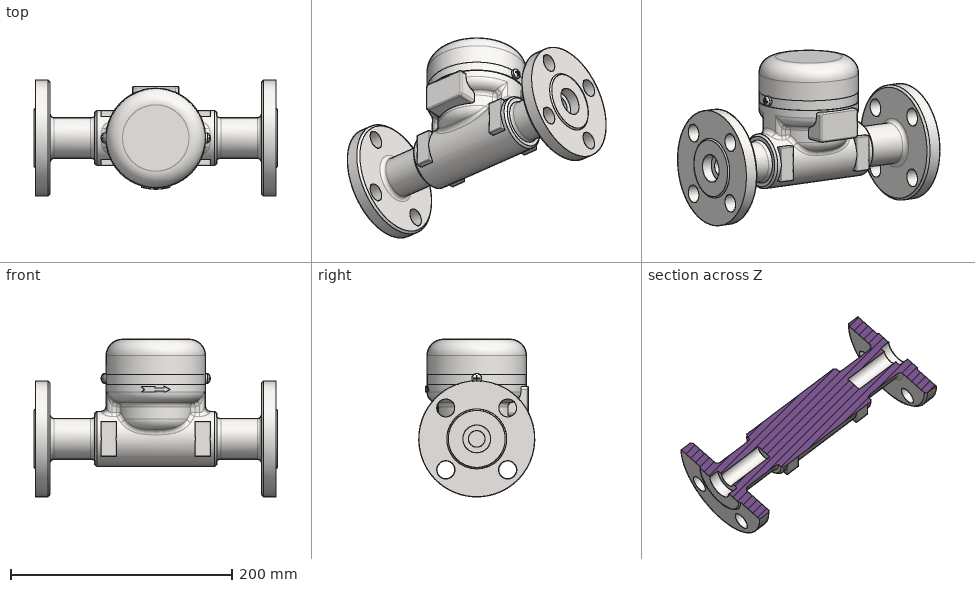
import cadquery as cq
import math

LENGTH = 220.0
HEIGHT = 142.5

FLANGE_D = 105.0
FLANGE_T = 13.2
FLANGE_CHAMFER = 2.0
BOLT_HOLE_D = 16.0
BOLT_OFFSET = 28.0
RAISED_FACE_T = 1.3
RAISED_FACE_D = 51.5
RAISED_FACE_BASE_D = 54.1
FLANGE_NECK_R = 3.7

PIPE_D = 37.0
FLARE_RISE = 1.0
FLARE_L = 3.5
SOCKET_D = 25.0
SOCKET_DEPTH = 10.0
BORE_D = 15.0

BARREL_D = 50.0
BARREL_L = 110.5
BARREL_CHAMFER = 2.0
WRENCH_PAD_X = 42.5
WRENCH_PAD_W = 14.3
WRENCH_PAD_H = 31.5
WRENCH_PAD_Y_INNER = 19.1
WRENCH_PAD_EDGE_R = 0.7

HEAD_D = 90.0
JOINT_Z = 49.3
HEAD_FILLET_Z = 42.5
HEAD_FILLET_R = 10.0
NECK_D = 70.0
NECK_FILLET_Z = 17.8
CAST_R = 4.5
ARM_W = 25.5
SPIGOT_D = 88.7
SPIGOT_TOP_Z = 58.0

PAD_W = 41.8
PAD_BOTTOM_Z = 20.5
PAD_TOP_Z = 47.5
PAD_FACE_Y = 46.6
PAD_CORNER_R = 2.9
PAD_EDGE_R = 1.3

ARROW_Z = 44.7
ARROW_HALF_L = 13.0
ARROW_RISE = 1.3
ARROW_NOTCH_L = 2.6
ARROW_TAIL_END_X = -0.7
ARROW_HEAD_X = 7.3
ARROW_TAIL_HALF_W = 2.6
ARROW_SHAFT_HALF_W = 1.3
ARROW_HEAD_HALF_W = 3.0

COVER_EDGE_R = 15.0

SCREW_Z = 54.5
SCREW_HEAD_D = 9.0
SCREW_RIM_H = 2.0
SCREW_HEAD_H = 4.5
SCREW_SHANK_D = 4.5
SCREW_SHANK_L = 6.5
SLOT_L = 5.7
SLOT_W = 0.9
SLOT_DEPTH = 1.0

HEAD_R = HEAD_D / 2
BARREL_R = BARREL_D / 2
TOP_Z = HEIGHT - FLANGE_D / 2
FLANGE_FACE_X = LENGTH / 2 - RAISED_FACE_T
FLANGE_BACK_X = FLANGE_FACE_X - FLANGE_T
BARREL_END_X = BARREL_L / 2
BORE_END_X = BARREL_END_X
ENDS = (-1, 1)

SURFACE_TOLERANCE = 0.002


def cylinder_x(diameter, x_start, x_end):
    """Cylinder about the X axis between two X positions."""
    return cq.Workplane("YZ", origin=(x_start, 0, 0)).circle(diameter / 2).extrude(x_end - x_start)


def cylinder_z(diameter, z_start, z_end):
    """Cylinder about the Z axis between two Z positions."""
    return cq.Workplane("XY", origin=(0, 0, z_start)).circle(diameter / 2).extrude(z_end - z_start)


def to_end(shape, end):
    """Turn a shape built at the +X end to the given end."""
    return shape if end > 0 else shape.mirror("YZ")


def flanged_pipe():
    """Pipe stub with its flange at the +X end, starting at the middle of the barrel."""
    pipe_r = PIPE_D / 2
    flare_r = pipe_r + FLARE_RISE
    flare_arc_r = (FLARE_L**2 + FLARE_RISE**2) / (2 * FLARE_RISE)
    flange_r = FLANGE_D / 2
    neck_mid = FLANGE_NECK_R * (1 - math.sqrt(0.5))
    profile = (
        cq.Workplane("XZ")
        .moveTo(0, 0)
        .lineTo(0, flare_r)
        .lineTo(BARREL_END_X, flare_r)
        .radiusArc((BARREL_END_X + FLARE_L, pipe_r), -flare_arc_r)
        .lineTo(FLANGE_BACK_X - FLANGE_NECK_R, pipe_r)
        .threePointArc(
            (FLANGE_BACK_X - neck_mid, pipe_r + neck_mid),
            (FLANGE_BACK_X, pipe_r + FLANGE_NECK_R),
        )
        .lineTo(FLANGE_BACK_X, flange_r - FLANGE_CHAMFER)
        .lineTo(FLANGE_BACK_X + FLANGE_CHAMFER, flange_r)
        .lineTo(FLANGE_FACE_X, flange_r)
        .lineTo(FLANGE_FACE_X, RAISED_FACE_BASE_D / 2)
        .lineTo(LENGTH / 2, RAISED_FACE_D / 2)
        .lineTo(LENGTH / 2, 0)
        .close()
    )
    pipe = profile.revolve(360, (0, 0, 0), (1, 0, 0))
    bolt_holes = (
        cq.Workplane("YZ", origin=(FLANGE_BACK_X, 0, 0))
        .rect(2 * BOLT_OFFSET, 2 * BOLT_OFFSET, forConstruction=True)
        .vertices()
        .circle(BOLT_HOLE_D / 2)
        .extrude(FLANGE_T)
    )
    return pipe.cut(bolt_holes)


def stepped_bore():
    """Socket and smaller bore cut in from the +X end face."""
    socket = cylinder_x(SOCKET_D, LENGTH / 2 - SOCKET_DEPTH, LENGTH / 2)
    return socket.union(cylinder_x(BORE_D, BORE_END_X, LENGTH / 2))


def barrel():
    """Round barrel with chamfered ends."""
    return cylinder_x(BARREL_D, -BARREL_END_X, BARREL_END_X).edges().chamfer(BARREL_CHAMFER)


def wrench_pad(x_side, y_side):
    """Flat pad beside one barrel end, flush with the barrel's widest point."""
    depth = BARREL_R - WRENCH_PAD_Y_INNER
    return (
        cq.Workplane("XY")
        .box(WRENCH_PAD_W, depth, WRENCH_PAD_H)
        .edges("|Y or >Y")
        .fillet(WRENCH_PAD_EDGE_R)
        .rotate((0, 0, 0), (0, 0, 1), 0 if y_side > 0 else 180)
        .translate((x_side * WRENCH_PAD_X, y_side * (BARREL_R - depth / 2), 0))
    )


def neck():
    """Round neck with a rounded lower edge."""
    bottom_z = NECK_FILLET_Z - HEAD_FILLET_R
    body = cylinder_z(NECK_D, bottom_z, JOINT_Z)
    return body.faces("<Z").edges().fillet(HEAD_FILLET_R)


def arms():
    """Upright arms joining both sides of the head to the barrel, with the head's curvature."""
    slab = cq.Workplane("XY").box(HEAD_D, ARM_W, JOINT_Z, centered=(True, True, False))
    outline = cylinder_z(HEAD_D, 0, JOINT_Z).intersect(slab)
    return outline.edges("|Z").fillet(CAST_R)


def head():
    """Wide upper part with a rounded lower edge."""
    body = cylinder_z(HEAD_D, HEAD_FILLET_Z - HEAD_FILLET_R, JOINT_Z)
    return body.faces("<Z").edges().fillet(HEAD_FILLET_R)


def junction_edges(casting, pieces, top_z):
    """Edges below top_z whose middle lies on the surfaces of at least two pieces."""
    shells = [piece.val().Shells()[0] for piece in pieces]
    edges = []
    for edge in casting.edges().vals():
        middle = edge.positionAt(0.5)
        point = cq.Vertex.makeVertex(*middle.toTuple())
        touching = sum(1 for shell in shells if shell.distance(point) < SURFACE_TOLERANCE)
        if touching > 1 and middle.z < top_z:
            edges.append(edge)
    return edges


def casting_body():
    """Head, neck, arms and barrel blended together."""
    pieces = [neck(), arms(), head(), barrel()]
    casting = pieces[0]
    for piece in pieces[1:]:
        casting = casting.union(piece)
    return casting.newObject(junction_edges(casting, pieces, HEAD_FILLET_Z)).fillet(CAST_R)


def mounting_pad():
    """Upright pad reaching from inside the neck to its flat outer face."""
    height = PAD_TOP_Z - PAD_BOTTOM_Z
    return (
        cq.Workplane("XY")
        .box(PAD_W, PAD_FACE_Y, height, centered=(True, False, False))
        .edges("|Y")
        .fillet(PAD_CORNER_R)
        .faces(">Y")
        .edges()
        .fillet(PAD_EDGE_R)
        .translate((0, 0, PAD_BOTTOM_Z))
    )


def flow_arrow():
    """Raised arrow pointing to +X, curved with the head and cut off at the head's lower rounding."""
    upper = [
        (-ARROW_HALF_L, ARROW_TAIL_HALF_W),
        (ARROW_TAIL_END_X, ARROW_TAIL_HALF_W),
        (ARROW_TAIL_END_X, ARROW_SHAFT_HALF_W),
        (ARROW_HEAD_X, ARROW_SHAFT_HALF_W),
        (ARROW_HEAD_X, ARROW_HEAD_HALF_W),
    ]
    lower = [(x, -z) for x, z in reversed(upper)]
    outline = upper + [(ARROW_HALF_L, 0)] + lower + [(ARROW_NOTCH_L - ARROW_HALF_L, 0)]
    prism = cq.Workplane("XZ", origin=(0, 0, ARROW_Z)).polyline(outline).close().extrude(HEAD_D)
    rim = cylinder_z(HEAD_D + 2 * ARROW_RISE, HEAD_FILLET_Z, JOINT_Z)
    return prism.intersect(rim).cut(cylinder_z(NECK_D, 0, JOINT_Z))


def housing_body():
    """Housing with flanged pipe stubs, pads and a spigot for the cover."""
    housing = casting_body()
    housing = housing.union(mounting_pad()).union(flow_arrow())
    housing = housing.union(cylinder_z(SPIGOT_D, JOINT_Z - HEAD_FILLET_R, SPIGOT_TOP_Z))
    for x_side in ENDS:
        housing = housing.union(to_end(flanged_pipe(), x_side))
        for y_side in ENDS:
            housing = housing.union(wrench_pad(x_side, y_side))
        housing = housing.cut(to_end(stepped_bore(), x_side))
    return housing


def cover_body():
    """Domed cover with a recess that fits over the spigot."""
    cover = cylinder_z(HEAD_D, JOINT_Z, TOP_Z).faces(">Z").edges().fillet(COVER_EDGE_R)
    return cover.cut(cylinder_z(SPIGOT_D, JOINT_Z, SPIGOT_TOP_Z))


def screw_shank():
    """Shank of the screw at the +X side, reaching into its head."""
    return cylinder_x(SCREW_SHANK_D, HEAD_R - SCREW_SHANK_L, HEAD_R + SCREW_RIM_H).translate((0, 0, SCREW_Z))


def screw_body(end):
    """Screw with a domed, cross-slotted head seated on the curved cover."""
    rim_x = HEAD_R + SCREW_RIM_H
    crown_x = HEAD_R + SCREW_HEAD_H
    dome_h = SCREW_HEAD_H - SCREW_RIM_H
    head_r = SCREW_HEAD_D / 2
    dome_r = (head_r**2 + dome_h**2) / (2 * dome_h)
    head_profile = (
        cq.Workplane("XZ")
        .moveTo(HEAD_R - head_r, 0)
        .lineTo(HEAD_R - head_r, head_r)
        .lineTo(rim_x, head_r)
        .radiusArc((crown_x, 0), dome_r)
        .close()
    )
    screw = head_profile.revolve(360, (0, 0, 0), (1, 0, 0)).translate((0, 0, SCREW_Z))
    screw = screw.cut(cylinder_z(HEAD_D, 0, TOP_Z)).union(screw_shank())
    for width, height in ((SLOT_L, SLOT_W), (SLOT_W, SLOT_L)):
        slot = cq.Workplane("XY").box(2 * SLOT_DEPTH, width, height)
        screw = screw.cut(slot.translate((crown_x, 0, SCREW_Z)))
    return to_end(screw, end)


def screw_holes():
    """Holes for both screw shanks, through the cover wall into the spigot."""
    return screw_shank().union(to_end(screw_shank(), -1))


housing = housing_body().cut(screw_holes()).solids()
cover = cover_body().cut(screw_holes()).solids()
screws = [screw_body(end).solids() for end in ENDS]

result = cq.Compound.makeCompound([housing.val(), cover.val(), *[screw.val() for screw in screws]])